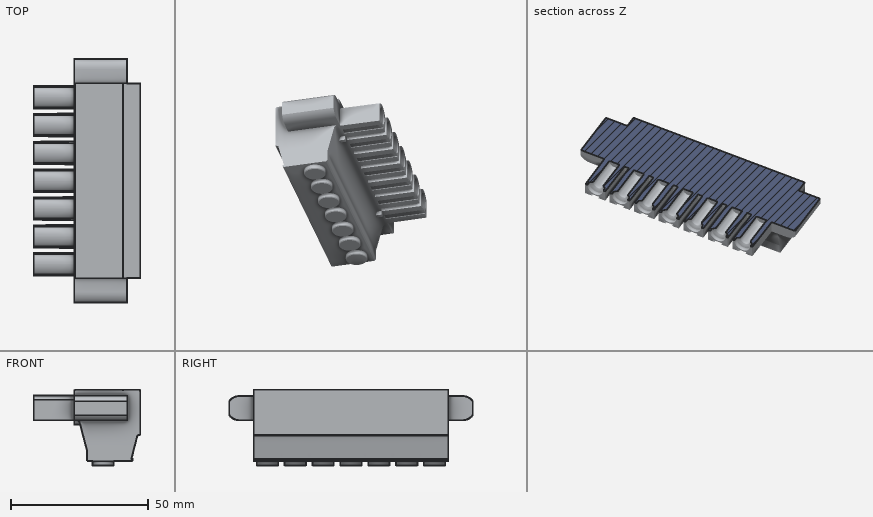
import cadquery as cq
import math

pole_count = 7
pole_span = 61.0
pole_pitch = pole_span / (pole_count - 1)

body_front = 14.75
body_back = 38.9
body_top = 27.8
body_bottom = 1.7
body_length = 71.1
front_chamfer = 0.4
back_radius = 0.6

ledge_z = 16.6
ledge_depth = 1.8
ledge_radius = 1.1
foot_front = 19.4
foot_front_top = 5.8
foot_back = 35.7
foot_lip = 0.4
foot_lip_height = 0.9
lip_chamfer = 0.35
back_step_top = 11.4
back_step_bottom = 11.0
back_step_depth = 1.1

seam_x = 32.4
seam_width = 0.3
seam_depth = 0.1

overall_length = 88.9
ear_depth = 19.4
ear_height = 8.9
ear_radius = ear_height / 2
ear_round_length = 3.6

bore_z = 21.15
sleeve_length = body_front
sleeve_tip_width = 8.3
sleeve_root_width = 8.5
sleeve_bottom = ledge_z
sleeve_shoulder = 24.1
crown_radius = 4.5
crown_flat = 0.3
mouth_radius = 3.2
mouth_depth = 1.4
bore_radius = 2.0
cone_depth = 0.9
bore_depth = sleeve_length

dovetail_depth = 0.8
dovetail_mouth = 2.7
dovetail_floor = 4.2

screw_x = 25.3
screw_diameter = 7.9
screw_chamfer = 0.3
screw_embed = 0.9

tab_y = 26.75
tab_width = 1.5
tab_bottom = 15.0
tab_depth = 3.55

pole_positions = [i * pole_pitch - pole_span / 2 for i in range(pole_count)]


def box(x0, x1, y0, y1, z0, z1):
    return cq.Workplane("XY").box(x1 - x0, y1 - y0, z1 - z0, centered=False).translate((x0, y0, z0))


def make_body():
    lip_x = foot_back + foot_lip
    lip_top = body_bottom + foot_lip_height
    outline = [
        (body_front, body_top),
        (body_front, ledge_z),
        (body_front + ledge_depth, ledge_z),
        (foot_front, foot_front_top),
        (foot_front, body_bottom),
        (lip_x, body_bottom),
        (lip_x, lip_top),
        (foot_back, lip_top),
        (body_back - back_step_depth, back_step_bottom),
        (body_back, back_step_top),
        (body_back, body_top),
    ]
    body = cq.Workplane("XZ").polyline(outline).close().extrude(body_length / 2, both=True)

    def edge_at(x, z):
        return cq.selectors.NearestToPointSelector((x, 0, z))

    for x, z in [(body_front, body_top), (foot_front, body_bottom)]:
        body = body.edges("|Y").edges(edge_at(x, z)).chamfer(front_chamfer)
    body = body.edges("|Y").edges(edge_at(body_back, body_top)).fillet(back_radius)
    body = body.edges("|Y").edges(edge_at(lip_x, body_bottom)).chamfer(lip_chamfer)
    body = body.edges("|Y").edges(edge_at(body_front + ledge_depth, ledge_z)).fillet(ledge_radius)
    seam = box(
        seam_x, seam_x + seam_width, -body_length / 2, body_length / 2, body_top - seam_depth, body_top
    )
    return body.cut(seam)


def make_ears():
    """One bar through the housing whose ends are arcs cut off by a flat."""
    tip = overall_length / 2
    arc_start = tip - ear_round_length
    half_flat = math.sqrt(ear_radius**2 - ear_round_length**2)
    half_sweep = math.asin(ear_round_length / ear_radius) / 2
    arc_mid_y = arc_start + ear_radius * math.sin(half_sweep)
    arc_mid_z = ear_radius * math.cos(half_sweep)
    half_height = ear_height / 2

    return (
        cq.Workplane("YZ", origin=(body_front, 0, ledge_z + half_height))
        .moveTo(-arc_start, half_height)
        .lineTo(arc_start, half_height)
        .threePointArc((arc_mid_y, arc_mid_z), (tip, half_flat))
        .lineTo(tip, -half_flat)
        .threePointArc((arc_mid_y, -arc_mid_z), (arc_start, -half_height))
        .lineTo(-arc_start, -half_height)
        .threePointArc((-arc_mid_y, -arc_mid_z), (-tip, -half_flat))
        .lineTo(-tip, half_flat)
        .threePointArc((-arc_mid_y, arc_mid_z), (-arc_start, half_height))
        .close()
        .extrude(ear_depth)
    )


def make_sleeve():
    """Sleeve at Y = 0: drafted sides and a crown of two arcs joined by a narrow flat."""
    tip_half = sleeve_tip_width / 2
    root_half = sleeve_root_width / 2
    shoulder_block = (
        cq.Workplane("XY", origin=(0, 0, sleeve_bottom))
        .polyline([(0, -tip_half), (0, tip_half), (sleeve_length, root_half), (sleeve_length, -root_half)])
        .close()
        .extrude(sleeve_shoulder - sleeve_bottom)
    )
    crown = (
        cq.Workplane("YZ", origin=(0, 0, bore_z))
        .slot2D(2 * crown_radius + crown_flat, 2 * crown_radius)
        .extrude(sleeve_length)
    )
    above_shoulder = box(0, sleeve_length, -tip_half, tip_half, sleeve_shoulder, body_top)
    return shoulder_block.union(crown.intersect(above_shoulder))


def make_sleeve_cut():
    """Stepped bore and the dovetail slot beneath it, at Y = 0."""
    bore = (
        cq.Workplane("XY")
        .polyline([
            (0, 0),
            (0, mouth_radius),
            (mouth_depth, mouth_radius),
            (mouth_depth + cone_depth, bore_radius),
            (bore_depth, bore_radius),
            (bore_depth, 0),
        ])
        .close()
        .revolve(360, (0, 0, 0), (1, 0, 0))
        .translate((0, 0, bore_z))
    )
    dovetail = (
        cq.Workplane("YZ", origin=(0, 0, sleeve_bottom))
        .polyline([
            (-dovetail_mouth / 2, 0),
            (dovetail_mouth / 2, 0),
            (dovetail_floor / 2, dovetail_depth),
            (-dovetail_floor / 2, dovetail_depth),
        ])
        .close()
        .extrude(sleeve_length)
    )
    return bore.union(dovetail)


def make_screw():
    return (
        cq.Workplane("XY", origin=(screw_x, 0, 0))
        .circle(screw_diameter / 2)
        .extrude(body_bottom + screw_embed)
        .faces("<Z")
        .chamfer(screw_chamfer)
    )


def make_tab(y):
    return box(
        body_front, body_front + tab_depth, y - tab_width / 2, y + tab_width / 2, tab_bottom, ledge_z
    )


result = make_body().union(make_ears())
for tab_side in (-1, 1):
    result = result.union(make_tab(tab_side * tab_y))

pole = make_sleeve().cut(make_sleeve_cut())
screw = make_screw()
for y in pole_positions:
    result = result.union(pole.translate((0, y, 0)))
    result = result.union(screw.translate((0, y, 0)))